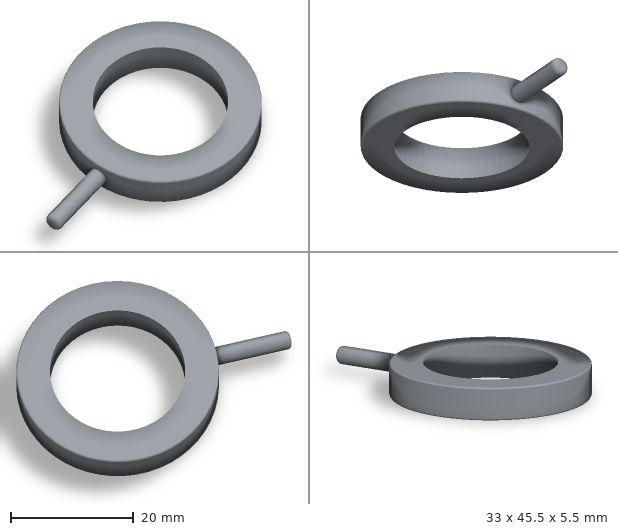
import cadquery as cq

ring_diameter = 33.0
bore_diameter = 22.0
ring_height = 5.5
ring_edge_round = 0.3

overall_length = 45.5
pin_diameter = 3.0
pin_tip_round = 0.75

ring_radius = ring_diameter / 2
bore_radius = bore_diameter / 2
pin_tip_distance = overall_length - ring_radius


def make_ring():
    """Flat ring with rounded outer edges and a plain bore."""
    base = cq.Workplane("XY", origin=(0, 0, -ring_height / 2))
    disc = base.circle(ring_radius).extrude(ring_height)
    rounded_disc = disc.edges("%CIRCLE").fillet(ring_edge_round)
    bore = base.circle(bore_radius).extrude(ring_height)
    return rounded_disc.cut(bore)


def make_pin():
    """Pin with a rounded tip, rooted halfway into the wall of the ring."""
    root_distance = (ring_radius + bore_radius) / 2
    pin = (
        cq.Workplane("XZ", origin=(0, -root_distance, 0))
        .circle(pin_diameter / 2)
        .extrude(pin_tip_distance - root_distance)
    )
    return pin.faces("<Y").edges().fillet(pin_tip_round)


result = make_ring().union(make_pin())